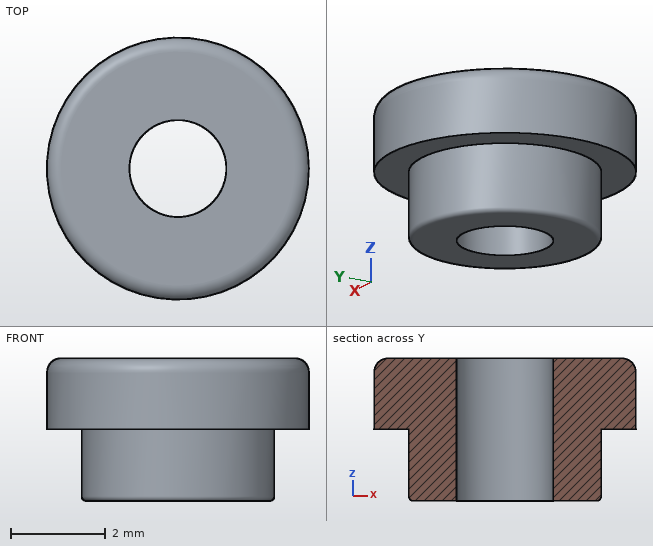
import cadquery as cq

head_diameter = 5.56
shank_diameter = 4.09
bore_diameter = 2.05
total_height = 3.03
shank_height = 1.52
head_height = total_height - shank_height
head_fillet_radius = 0.30
shank_fillet_radius = 0.10


def make_shank():
    """Lower cylinder with a small round on its bottom rim."""
    shank = cq.Workplane("XY").circle(shank_diameter / 2).extrude(shank_height)
    return shank.faces("<Z").edges().fillet(shank_fillet_radius)


def make_head():
    """Wide upper flange with a rounded top rim."""
    head = (
        cq.Workplane("XY")
        .workplane(offset=shank_height)
        .circle(head_diameter / 2)
        .extrude(head_height)
    )
    return head.faces(">Z").edges().fillet(head_fillet_radius)


def make_bore():
    """Cylinder that cuts the through hole along the axis."""
    return cq.Workplane("XY").circle(bore_diameter / 2).extrude(total_height)


result = make_shank().union(make_head()).cut(make_bore())